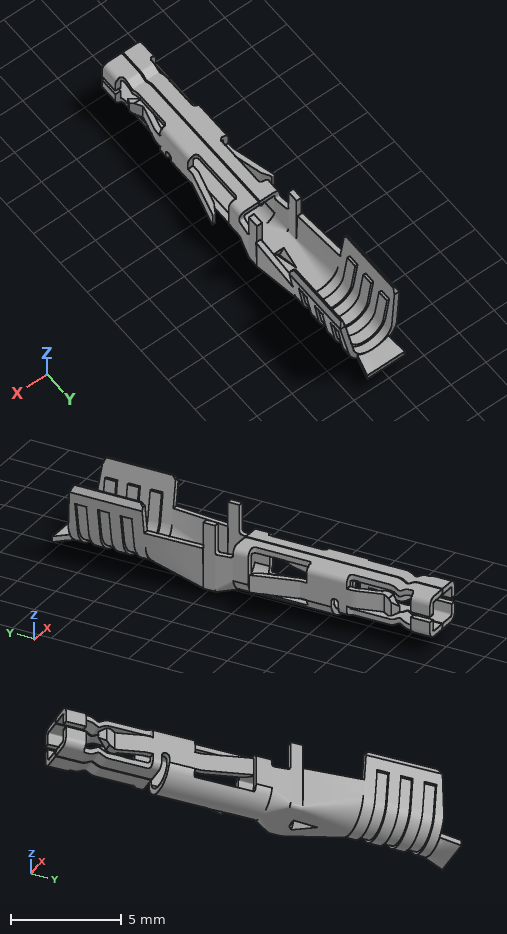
import cadquery as cq
import math

SHEET = 0.3
WIDTH, LENGTH = 3.55, 19.62
MARGIN = 0.2
INNER_RADIUS_MIN = 0.12
FLOOR_FLAT = 0.05

MOUTH_END = 1.0
BEAM_ROOT = 4.32
RELIEF_FRONT, RELIEF_REAR = 4.75, 5.12
WINDOW_FRONT, WINDOW_REAR = 6.4, 9.42
BOX_REAR = 10.2
TAB_FRONT, TAB_REAR = 11.07, 11.67
BARREL_FRONT, BARREL_REAR = 14.62, 18.62

BOX_HALF = 1.15
BOX_TOP = 2.55
FRONT_FLOOR = 0.47
BOX_CORNER = 0.37
BELLY_WIDTH = BOX_HALF - FLOOR_FLAT
BELLY_RISE = 0.82
SEAM_GAP = 0.05
PLATE_HALF = BOX_HALF - BOX_CORNER
WINDOW_HALF, WINDOW_SILL = 0.65, 0.5
RELIEF_TOP = 1.28
OPENING_ROUND, SILL_ROUND = 0.15, 0.1
MOUTH_SLIT_BOTTOM, MOUTH_SLIT_TOP = 1.37, 1.65
DIP_FRONT, DIP_REAR, DIP_DEPTH = 1.24, 2.33, 0.2

SPRING_BOTTOM, SPRING_TOP = 1.05, 1.96
SPRING_BEND_START, SPRING_BEND_END, SPRING_CONTACT_START = 4.1, 3.8, 2.8
SPRING_TIP, SPRING_TAPER_START, SPRING_TAPER = 1.69, 2.22, 0.3
LANCE_BOTTOM, LANCE_TOP = 0.82, 1.73
LANCE_REACH, LANCE_TIP = WIDTH / 2, 9.03
LANCE_ROUND = 0.08

NECK_TOP, NECK_ROUND = 2.0, 0.14
TAB_HALF, TAB_TOP, TAB_CORNER = 1.28, 3.5, 0.2
TRANSITION_TOP_FRONT, TRANSITION_TOP_REAR = 2.2, 2.28
TRANSITION_FLARE = 0.05
BARB_DEPTH, BARB_HALF, BARB_APEX = 0.35, 0.25, 12.95

BARREL_FLOOR, BARREL_HALF, BARREL_RISE = 0.3, 1.37, 1.18
WING_TOP, WING_TOP_HALF = 3.83, 1.75
COIN_BOTTOM, COIN_TOP_HALF = 3.5, 1.53
WING_REAR_LEAN, WING_REAR_CORNER, WING_FRONT_CORNER = 0.22, 0.37, 0.18
RIB_FIRST, RIB_PITCH, RIB_WIDTH, RIB_COUNT = 15.2, 1.18, 0.59, 3
RIB_TOP, RIB_DEPTH = 2.9, 0.14
TAIL_ROOT_HALF, TAIL_END_HALF, TAIL_SAG = 0.88, 1.08, 0.3


def block(x0, x1, y0, y1, z0, z1):
    return cq.Workplane("XY").box(x1 - x0, y1 - y0, z1 - z0, centered=False).translate((x0, y0, z0))


def mirrored(shape):
    return shape.union(shape.mirror("YZ"))


def trough_wire(y, half, top_half, floor, top, corner_width, corner_rise):
    """Closed cross-section at station y: rounded bottom corners and straight, possibly flared sides."""
    radius = (corner_width ** 2 + corner_rise ** 2) / (2 * corner_rise)
    half_angle = math.atan2(corner_width, radius - corner_rise) / 2
    flat = half - corner_width
    mid_x = flat + radius * math.sin(half_angle)
    mid_z = floor + radius * (1 - math.cos(half_angle))
    wall_z = floor + corner_rise
    section = (
        cq.Workplane("XZ", origin=(0, y, 0))
        .moveTo(-top_half, top)
        .lineTo(-half, wall_z)
        .threePointArc((-mid_x, mid_z), (-flat, floor))
    )
    if flat > 0:
        section = section.lineTo(flat, floor)
    return (
        section.threePointArc((mid_x, mid_z), (half, wall_z))
        .lineTo(top_half, top)
        .close()
        .val()
    )


def inset(half, top_half, floor, top, corner_width, corner_rise, depth=SHEET):
    """Section dimensions moved inwards by a depth, with the open top left where it is."""
    return (
        half - depth,
        top_half - depth,
        floor + depth,
        top,
        max(corner_width - depth, INNER_RADIUS_MIN),
        max(corner_rise - depth, INNER_RADIUS_MIN),
    )


def loft(front_wire, rear_wire):
    return cq.Workplane(cq.Solid.makeLoft([front_wire, rear_wire], True))


def solid_trough(front, rear, front_section, rear_section):
    front_wire = trough_wire(front, *front_section)
    if front_section == rear_section:
        return cq.Workplane(cq.Solid.extrudeLinear(front_wire, [], cq.Vector(0, rear - front, 0)))
    return loft(front_wire, trough_wire(rear, *rear_section))


def trough(front, rear, front_section, rear_section=None):
    """Open channel of sheet thickness between two stations."""
    rear_section = rear_section or front_section
    outside = solid_trough(front, rear, front_section, rear_section)
    return outside.cut(solid_trough(front, rear, inset(*front_section), inset(*rear_section)))


def tube(front, rear, floor, corner_width, corner_rise):
    """Channel closed by a roof with rounded upper corners."""
    section = (BOX_HALF, BOX_HALF, floor, BOX_TOP, corner_width, corner_rise)
    hollow = inset(*section)
    hollow = hollow[:3] + (BOX_TOP - SHEET,) + hollow[4:]
    outside = solid_trough(front, rear, section, section)
    inside = solid_trough(front, rear, hollow, hollow)
    outside = outside.faces(">Z").edges("|Y").fillet(BOX_CORNER)
    inside = inside.faces(">Z").edges("|Y").fillet(BOX_CORNER - SHEET)
    return outside.cut(inside)


def dipped_plate(bottom, direction):
    """Strip of the spring section that bows into the box."""
    crest = (DIP_FRONT + DIP_REAR) / 2
    low = [(DIP_FRONT, bottom), (crest, bottom + direction * DIP_DEPTH), (DIP_REAR, bottom)]
    high = [(y, z + SHEET) for y, z in reversed(low)]
    return (
        cq.Workplane("YZ")
        .moveTo(*low[0])
        .spline(low[1:], tangents=[(1, 0), (1, 0)], includeCurrent=True)
        .lineTo(*high[0])
        .spline(high[1:], tangents=[(-1, 0), (-1, 0)], includeCurrent=True)
        .close()
        .extrude(PLATE_HALF, both=True)
    )


def side_spring():
    """Contact finger that bows inwards, then flares out to a tapered tip."""
    root = BEAM_ROOT + MARGIN
    inner = BOX_HALF - SHEET
    spring = (
        cq.Workplane("XY", origin=(0, 0, SPRING_BOTTOM))
        .moveTo(BOX_HALF, root)
        .lineTo(BOX_HALF, SPRING_BEND_START)
        .tangentArcPoint((1.12, SPRING_BEND_END), relative=False)
        .lineTo(0.85, SPRING_CONTACT_START)
        .tangentArcPoint((0.8, 2.57), relative=False)
        .lineTo(1.14, 2.02)
        .lineTo(0.96, SPRING_TIP)
        .lineTo(0.5, 2.35)
        .threePointArc((0.43, 2.53), (0.55, SPRING_CONTACT_START))
        .lineTo(0.82, SPRING_BEND_END)
        .tangentArcPoint((inner, SPRING_BEND_START), relative=False)
        .lineTo(inner, root)
        .close()
    )
    spring = spring.extrude(SPRING_TOP - SPRING_BOTTOM)
    side = [
        (root, SPRING_BOTTOM), (SPRING_TAPER_START, SPRING_BOTTOM),
        (SPRING_TIP, SPRING_BOTTOM + SPRING_TAPER), (SPRING_TIP, SPRING_TOP - SPRING_TAPER),
        (SPRING_TAPER_START, SPRING_TOP), (root, SPRING_TOP),
    ]
    return spring.intersect(cq.Workplane("YZ").polyline(side).close().extrude(BOX_HALF))


def locking_lance():
    """Barb bent outwards from the side wall, with a thinned tip."""
    inner = BOX_HALF - SHEET
    root = WINDOW_FRONT - MARGIN
    plan = [
        (BOX_HALF, root), (BOX_HALF, 6.73), (LANCE_REACH, LANCE_TIP),
        (1.6, LANCE_TIP), (1.33, 8.55), (inner, 6.8), (inner, root),
    ]
    lance = cq.Workplane("XY", origin=(0, 0, LANCE_BOTTOM)).polyline(plan).close()
    lance = lance.extrude(LANCE_TOP - LANCE_BOTTOM)
    return lance.faces(">Y").edges("|X").fillet(LANCE_ROUND)


def mating_box():
    box = tube(0, RELIEF_FRONT, FRONT_FLOOR, BOX_CORNER, BOX_CORNER)
    box = box.union(tube(RELIEF_FRONT, BOX_REAR, 0, BELLY_WIDTH, BELLY_RISE))

    relief_width = RELIEF_REAR - RELIEF_FRONT
    relief_end = RELIEF_TOP - relief_width / 2
    relief = block(-BOX_HALF, BOX_HALF, RELIEF_FRONT, RELIEF_REAR, -MARGIN, relief_end)
    relief_round = (
        cq.Workplane("YZ")
        .center((RELIEF_FRONT + RELIEF_REAR) / 2, relief_end)
        .circle(relief_width / 2)
        .extrude(BOX_HALF, both=True)
    )
    box = box.cut(relief).cut(relief_round)

    outside = BOX_HALF + MARGIN
    spring_opening = block(PLATE_HALF, outside, MOUTH_END, BEAM_ROOT, 0, BOX_TOP + MARGIN)
    window = block(WINDOW_HALF, outside, WINDOW_FRONT, WINDOW_REAR, WINDOW_SILL, BOX_TOP + MARGIN)
    spring_opening = spring_opening.edges("|Z and <X").fillet(OPENING_ROUND)
    window = window.edges("|X and <Z").fillet(SILL_ROUND)
    window = window.edges("|Z and <X").fillet(OPENING_ROUND)
    box = box.cut(mirrored(spring_opening)).cut(mirrored(window))
    slit_end = MOUTH_END + OPENING_ROUND
    box = box.cut(block(-outside, outside, -MARGIN, slit_end, MOUTH_SLIT_BOTTOM, MOUTH_SLIT_TOP))

    box = box.cut(block(-outside, outside, DIP_FRONT, DIP_REAR, 0, BOX_TOP + MARGIN))
    box = box.union(dipped_plate(BOX_TOP - SHEET, -1)).union(dipped_plate(FRONT_FLOOR, 1))

    seam = SEAM_GAP / 2
    box = box.cut(block(-seam, seam, -MARGIN, BOX_REAR, BOX_TOP / 2, BOX_TOP + MARGIN))
    box = box.cut(block(-seam, seam, -MARGIN, RELIEF_FRONT, 0, BOX_TOP / 2))
    return box.union(mirrored(side_spring())).union(mirrored(locking_lance()))


def neck_and_tabs():
    box_end = (BOX_HALF, BOX_HALF, 0, BOX_TOP, BELLY_WIDTH, BELLY_RISE)
    tab_end = (TAB_HALF, TAB_HALF, 0, BOX_TOP, TAB_CORNER, TAB_CORNER)
    neck = trough(BOX_REAR, TAB_FRONT, box_end, tab_end)
    notch = block(-TAB_HALF, TAB_HALF, BOX_REAR, TAB_FRONT, NECK_TOP, BOX_TOP + MARGIN)
    neck = neck.cut(notch.faces("<Z").edges("|X").fillet(NECK_ROUND))
    tabs = trough(TAB_FRONT, TAB_REAR, (TAB_HALF, TAB_HALF, 0, TAB_TOP, TAB_CORNER, TAB_CORNER))
    return neck.union(tabs)


def transition():
    flare = (WING_TOP_HALF - BARREL_HALF) / (WING_TOP - BARREL_FLOOR - BARREL_RISE)
    rear_top_half = BARREL_HALF + flare * (TRANSITION_TOP_REAR - BARREL_FLOOR - BARREL_RISE)
    front = (TAB_HALF, TAB_HALF + TRANSITION_FLARE, 0, TRANSITION_TOP_FRONT, TAB_CORNER, TAB_CORNER)
    rear_corner = BARREL_HALF - FLOOR_FLAT
    rear = (BARREL_HALF, rear_top_half, BARREL_FLOOR, TRANSITION_TOP_REAR, rear_corner, BARREL_RISE)
    return trough(TAB_REAR, BARREL_FRONT, front, rear)


def barb_prism(lift):
    """V-shaped spike that fades into the rising floor; lift moves it up."""
    apex_z = BARREL_FLOOR * (BARB_APEX - TAB_REAR) / (BARREL_FRONT - TAB_REAR) + lift
    height = 0.2
    slope_half = BARB_HALF * (BARB_DEPTH + height) / BARB_DEPTH
    tip = 0.002

    def v_wire(y, half, bottom, top):
        points = [cq.Vector(-half, y, top), cq.Vector(half, y, top), cq.Vector(0, y, bottom)]
        return cq.Wire.makePolygon(points, close=True)

    return loft(
        v_wire(TAB_REAR, slope_half, lift - BARB_DEPTH, lift + height),
        v_wire(BARB_APEX, tip, apex_z, apex_z + tip),
    )


def barrel():
    section = (BARREL_HALF, WING_TOP_HALF, BARREL_FLOOR, WING_TOP, BARREL_HALF, BARREL_RISE)
    body = trough(BARREL_FRONT, BARREL_REAR, section)

    pressed = inset(*section, depth=RIB_DEPTH)
    for index in range(RIB_COUNT):
        start = RIB_FIRST + index * RIB_PITCH
        zone = block(-WIDTH, WIDTH, start, start + RIB_WIDTH, 0, RIB_TOP)
        rib = trough(start, start + RIB_WIDTH, pressed).intersect(zone)
        body = body.cut(zone).union(rib)

    wall_start = BARREL_FLOOR + BARREL_RISE
    outline = [
        (BARREL_FRONT, 0), (BARREL_REAR, 0), (BARREL_REAR, wall_start),
        (BARREL_REAR - WING_REAR_LEAN, COIN_BOTTOM), (BARREL_REAR - WING_REAR_CORNER, WING_TOP),
        (BARREL_FRONT + WING_FRONT_CORNER, WING_TOP), (BARREL_FRONT, WING_TOP - WING_FRONT_CORNER),
    ]
    body = body.intersect(cq.Workplane("YZ").polyline(outline).close().extrude(WIDTH, both=True))
    slope = (WING_TOP_HALF - BARREL_HALF) / (WING_TOP - wall_start)
    coin_half = BARREL_HALF + slope * (COIN_BOTTOM - wall_start)
    coin = (
        cq.Workplane("XZ", origin=(0, BARREL_FRONT, 0))
        .polyline([(coin_half, COIN_BOTTOM), (COIN_TOP_HALF, WING_TOP), (WING_TOP_HALF + MARGIN, WING_TOP)])
        .close()
        .extrude(BARREL_FRONT - BARREL_REAR)
    )
    return body.cut(mirrored(coin))


def tail():
    """Widening tongue that flattens out from the curved barrel floor."""
    def strip(y, half, sag):
        floor, top = BARREL_FLOOR, BARREL_FLOOR + SHEET
        return (
            cq.Workplane("XZ", origin=(0, y, 0))
            .moveTo(-half, floor + sag)
            .threePointArc((0, floor), (half, floor + sag))
            .lineTo(half, top + sag)
            .threePointArc((0, top), (-half, top + sag))
            .close()
            .val()
        )

    flat_sag = 0.004
    return loft(
        strip(BARREL_REAR, TAIL_ROOT_HALF, TAIL_SAG),
        strip(LENGTH, TAIL_END_HALF, flat_sag),
    )


result = mating_box().union(neck_and_tabs()).union(transition())
result = result.union(barb_prism(0)).cut(barb_prism(SHEET))
result = result.union(barrel()).union(tail())